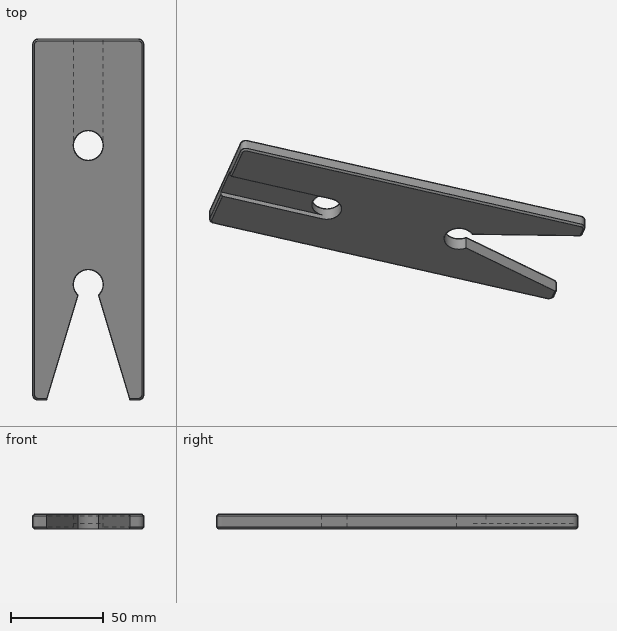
import cadquery as cq

width = 60.0
length = 195.0
thickness = 8.0
corner_radius = 3.0
edge_chamfer = 1.0

hole_diameter = 16.0
hole_y = 40.0
hole_spacing = 75.0
notch_circle_y = hole_y - hole_spacing

notch_inner_width = 7.5
notch_mouth_width = 45.0

groove_depth = 3.0


def make_plate():
    """Rectangular plate with rounded corners and chamfered top and bottom rims."""
    plate = cq.Workplane("XY").rect(width, length).extrude(thickness)
    plate = plate.edges("|Z").fillet(corner_radius)
    return plate.faces("<Z or >Z").edges().chamfer(edge_chamfer)


def make_hole_cutters():
    """Cylinders for the round hole and for the inner end of the notch."""
    centres = [(0, hole_y), (0, notch_circle_y)]
    cutters = cq.Workplane("XY").pushPoints(centres)
    return cutters.circle(hole_diameter / 2).extrude(thickness)


def make_notch_cutter():
    """Tapered prism that widens from the notch circle's centre to the -Y end."""
    inner_half = notch_inner_width / 2
    mouth_half = notch_mouth_width / 2
    mouth_y = -length / 2
    outline = [
        (-inner_half, notch_circle_y),
        (inner_half, notch_circle_y),
        (mouth_half, mouth_y),
        (-mouth_half, mouth_y),
    ]
    return cq.Workplane("XY").polyline(outline).close().extrude(thickness)


def make_groove_cutter():
    """Shallow box whose side walls are tangent to the round hole."""
    groove_length = length / 2 - hole_y
    return (
        cq.Workplane("XY")
        .center(0, hole_y + groove_length / 2)
        .rect(hole_diameter, groove_length)
        .extrude(groove_depth)
    )


result = (
    make_plate()
    .cut(make_hole_cutters())
    .cut(make_notch_cutter())
    .cut(make_groove_cutter())
)